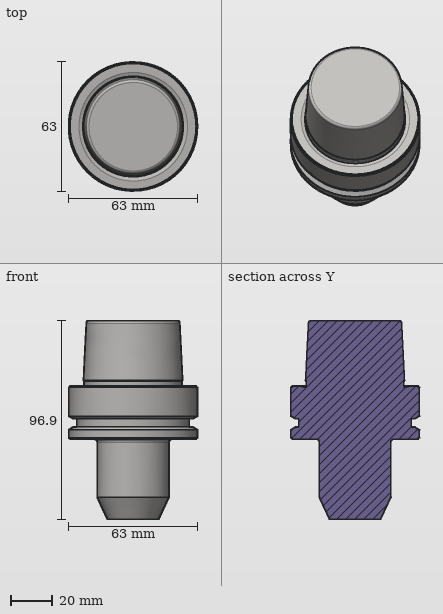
import cadquery as cq

total_height = 96.9
nose_height = 10.8
flange_bottom = 39.05
flange_height = 26.0
groove_bottom = 45.1
groove_width = 3.9
groove_bevel_height = 1.5
taper_bottom = 67.9
taper_lip_height = 0.6

nose_radius = 12.5
shank_radius = 17.5
flange_radius = 31.5
groove_radius = 27.5
groove_mouth_radius = 29.2
neck_radius = 23.9
taper_base_radius = 24.2
taper_top_radius = 22.8
recess_radius = 26.5

flange_rim_inset = 0.6
flange_rim_height = 0.5
flange_rim_bevel = 0.2
shank_fillet = 1.5
taper_top_round = 1.3
recess_depth = 0.6
neck_fillet = 0.6

flange_top = flange_bottom + flange_height
recess_floor = flange_top - recess_depth
neck_foot_radius = neck_radius + neck_fillet
groove_top = groove_bottom + groove_width


def revolve_outline(points):
    """Turn a solid from (radius, height) points, closed along the Z axis."""
    return cq.Workplane("XZ").polyline(points).close().revolve(360, (0, 0), (0, 1))


def make_shank():
    """Cylindrical shank with a conical nose at its lower end."""
    return revolve_outline([
        (0, 0),
        (nose_radius, 0),
        (shank_radius, nose_height),
        (shank_radius, flange_bottom),
        (0, flange_bottom),
    ])


def make_flange():
    """Flange with stepped, bevelled rims, a bevelled gripper groove and a conical recess in its top."""
    rim_radius = flange_radius - flange_rim_inset
    body = revolve_outline([
        (0, flange_bottom),
        (rim_radius - flange_rim_bevel, flange_bottom),
        (rim_radius, flange_bottom + flange_rim_height),
        (flange_radius, flange_bottom + flange_rim_height + flange_rim_bevel),
        (flange_radius, flange_top - flange_rim_height - flange_rim_bevel),
        (rim_radius, flange_top - flange_rim_height),
        (rim_radius - flange_rim_bevel, flange_top),
        (0, flange_top),
    ])
    groove = revolve_outline([
        (groove_radius, groove_bottom),
        (groove_mouth_radius, groove_bottom),
        (flange_radius, groove_bottom - groove_bevel_height),
        (flange_radius, groove_top + groove_bevel_height),
        (groove_mouth_radius, groove_top),
        (groove_radius, groove_top),
    ])
    recess = revolve_outline([
        (0, recess_floor),
        (neck_foot_radius, recess_floor),
        (recess_radius, flange_top),
        (0, flange_top),
    ])
    return body.cut(groove).cut(recess)


def make_taper():
    """Short neck with a filleted foot, under a conical taper with a rounded upper rim."""
    body = (
        cq.Workplane("XZ")
        .moveTo(0, recess_floor)
        .lineTo(neck_foot_radius, recess_floor)
        .radiusArc((neck_radius, recess_floor + neck_fillet), neck_fillet)
        .lineTo(neck_radius, taper_bottom - taper_lip_height)
        .lineTo(taper_base_radius, taper_bottom)
        .lineTo(taper_top_radius, total_height)
        .lineTo(0, total_height)
        .close()
        .revolve(360, (0, 0), (0, 1))
    )
    return body.faces(">Z").edges().fillet(taper_top_round)


def round_shank_root(part):
    """Fillet the corner where the shank meets the underside of the flange."""
    corner = cq.selectors.BoxSelector(
        (-flange_radius, -flange_radius, flange_bottom - shank_fillet / 2),
        (flange_radius, flange_radius, flange_bottom + shank_fillet / 2),
        boundingbox=True,
    )
    root_edge = part.edges(corner).edges(cq.selectors.RadiusNthSelector(0))
    return root_edge.fillet(shank_fillet)


result = round_shank_root(make_shank().union(make_flange()).union(make_taper()))